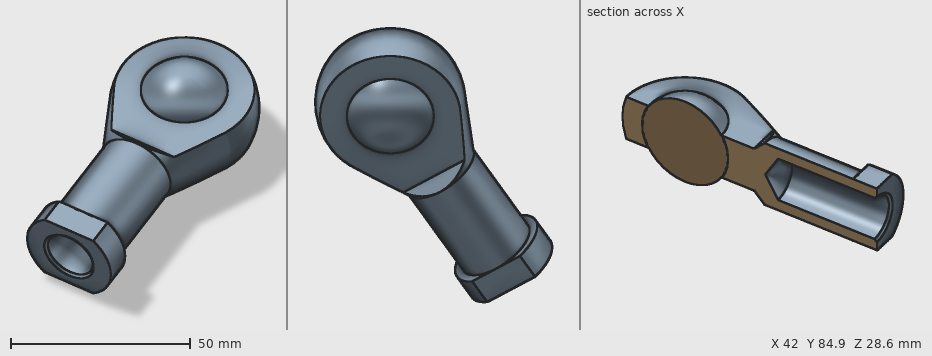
import cadquery as cq
import math


head_radius = 21.0
eye_thickness = 15.0
ball_radius = 14.3
cone_start = 7.8
neck_end = 26.5
shank_radius = 11.0
collar_radius = 13.5
collar_length = 8.0
total_length = 84.9

bore_radius = 7.2
bore_mouth_radius = 8.0
bore_depth = 32.95
drill_point_angle = 120.0

shank_end = total_length - head_radius
collar_start = shank_end - collar_length
half_thickness = eye_thickness / 2
slope_start = neck_end - (shank_radius - half_thickness)
cone_start_radius = math.sqrt(head_radius**2 - cone_start**2)
bore_end = shank_end - bore_depth
drill_point_length = bore_radius / math.tan(math.radians(drill_point_angle / 2))
mouth_chamfer = bore_mouth_radius - bore_radius


def revolve_about_y(profile):
    return profile.close().revolve(360, (0, 0, 0), (0, 1, 0))


def turned_blank():
    """Spherical head, conical neck, shank and collar, all round about Y."""
    profile = (
        cq.Workplane("XY")
        .moveTo(0, head_radius)
        .threePointArc((head_radius, 0), (cone_start_radius, -cone_start))
        .lineTo(shank_radius, -neck_end)
        .lineTo(shank_radius, -collar_start)
        .lineTo(collar_radius, -collar_start)
        .lineTo(collar_radius, -shank_end)
        .lineTo(0, -shank_end)
    )
    return revolve_about_y(profile)


def side_envelope():
    """Slab that flattens the eye, slopes up at the neck and flattens the collar."""
    upper_edge = [
        (head_radius, half_thickness),
        (-slope_start, half_thickness),
        (-neck_end, shank_radius),
        (-shank_end, shank_radius),
    ]
    lower_edge = [(y, -z) for y, z in reversed(upper_edge)]
    return (
        cq.Workplane("YZ")
        .polyline(upper_edge + lower_edge)
        .close()
        .extrude(head_radius, both=True)
    )


def shank_bore():
    """Blind bore with a chamfered mouth and a drill point."""
    profile = (
        cq.Workplane("XY")
        .moveTo(0, -shank_end)
        .lineTo(bore_mouth_radius, -shank_end)
        .lineTo(bore_radius, -shank_end + mouth_chamfer)
        .lineTo(bore_radius, -bore_end)
        .lineTo(0, -bore_end + drill_point_length)
    )
    return revolve_about_y(profile)


def make_ball():
    return cq.Workplane("XY").sphere(ball_radius)


def make_housing():
    """Rod end body with a spherical seat that matches the ball."""
    body = turned_blank().intersect(side_envelope())
    return body.cut(shank_bore()).cut(make_ball())


housing = make_housing()
ball = make_ball()

result = cq.Compound.makeCompound([*housing.solids().vals(), ball.val()])